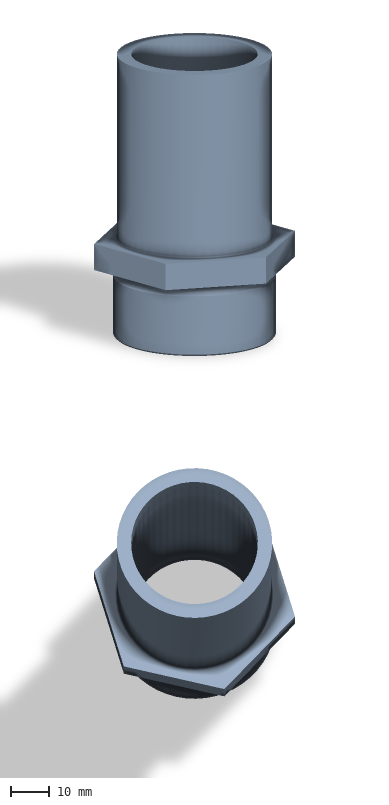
import cadquery as cq

total_height = 75.0
bore_diameter = 32.6
tube_diameter = 40.0
spigot_diameter = 41.9
spigot_height = 16.0
spigot_chamfer = 0.5
groove_width = 3.0
hex_across_flats = 46.0
hex_height = 7.0
root_fillet = 0.5

bore_radius = bore_diameter / 2
tube_radius = tube_diameter / 2
spigot_radius = spigot_diameter / 2
groove_radius = groove_width / 2
hex_bottom = spigot_height + groove_width
hex_top = hex_bottom + hex_height


def turned_body():
    """Bored body of revolution: chamfered spigot, round groove and tube."""
    groove_floor = (spigot_radius - groove_radius, spigot_height + groove_radius)
    profile = (
        cq.Workplane("XZ")
        .moveTo(bore_radius, 0)
        .lineTo(spigot_radius - spigot_chamfer, 0)
        .lineTo(spigot_radius, spigot_chamfer)
        .lineTo(spigot_radius, spigot_height)
        .threePointArc(groove_floor, (spigot_radius, hex_bottom))
        .lineTo(spigot_radius, hex_top)
        .lineTo(tube_radius + root_fillet, hex_top)
        .tangentArcPoint((tube_radius, hex_top + root_fillet), relative=False)
        .lineTo(tube_radius, total_height)
        .lineTo(bore_radius, total_height)
        .close()
    )
    return profile.revolve(360, (0, 0, 0), (0, 1, 0))


def hex_collar():
    """Bored hexagonal wrench collar with two flats facing +X and -X."""
    return (
        cq.Workplane("XY")
        .workplane(offset=hex_bottom)
        .polygon(6, hex_across_flats, circumscribed=True)
        .circle(bore_radius)
        .extrude(hex_height)
    )


result = turned_body().union(hex_collar())